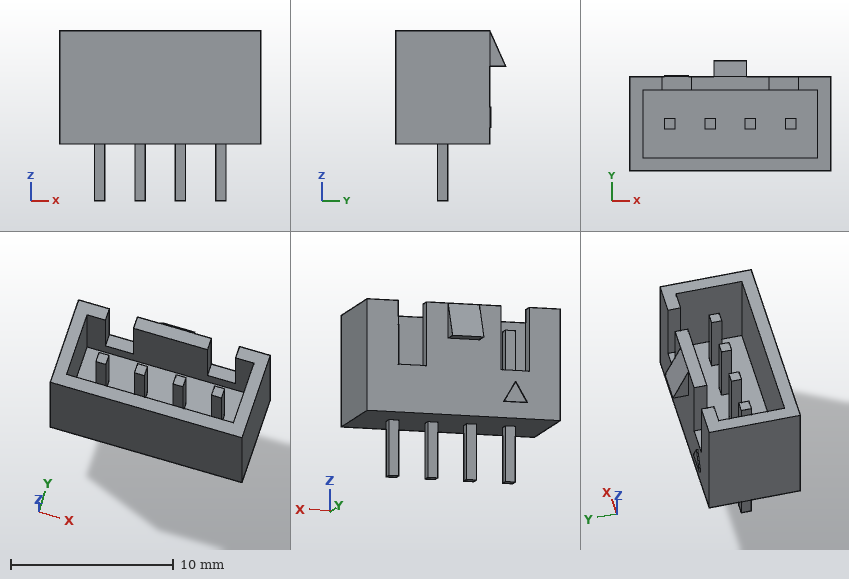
import cadquery as cq

length = 12.4
depth = 5.8
height = 7.0
wall = 0.8
floor_thickness = 2.0

slot_width = 1.81
slot_offset = 3.3
slot_bottom = 3.0

latch_width = 2.01
latch_reach = 0.99
latch_height = 2.21

pin_count = 4
pin_pitch = 2.49
pin_size = 0.65
pin_tail = 3.5
pin_top = 6.0

mark_width = 1.5
mark_height = 1.28
mark_bottom = 1.02
mark_relief = 0.09

rear = depth / 2
first_pin_x = -pin_pitch * (pin_count - 1) / 2


def block(x_size, y_size, z_bottom, z_top, x=0, y=0):
    """Box centred at (x, y) that spans the given heights."""
    return (
        cq.Workplane("XY", origin=(x, y, z_bottom))
        .rect(x_size, y_size)
        .extrude(z_top - z_bottom)
    )


def housing():
    body = block(length, depth, 0, height)
    cavity = block(length - 2 * wall, depth - 2 * wall, floor_thickness, height)
    body = body.cut(cavity)
    for side in (-1, 1):
        slot = block(slot_width, wall, slot_bottom, height, side * slot_offset, rear - wall / 2)
        body = body.cut(slot)
    return body


def latch():
    return (
        cq.Workplane("YZ")
        .moveTo(rear, height)
        .lineTo(rear + latch_reach, height - latch_height)
        .lineTo(rear, height - latch_height)
        .close()
        .extrude(latch_width / 2, both=True)
    )


def pin_mark():
    mark_left = first_pin_x - pin_size / 2
    return (
        cq.Workplane("XZ", origin=(mark_left, rear, mark_bottom))
        .moveTo(0, 0)
        .lineTo(mark_width, 0)
        .lineTo(mark_width / 2, mark_height)
        .close()
        .extrude(-mark_relief)
    )


result = housing().union(latch()).union(pin_mark())
for index in range(pin_count):
    pin_x = first_pin_x + index * pin_pitch
    result = result.union(block(pin_size, pin_size, -pin_tail, pin_top, pin_x))